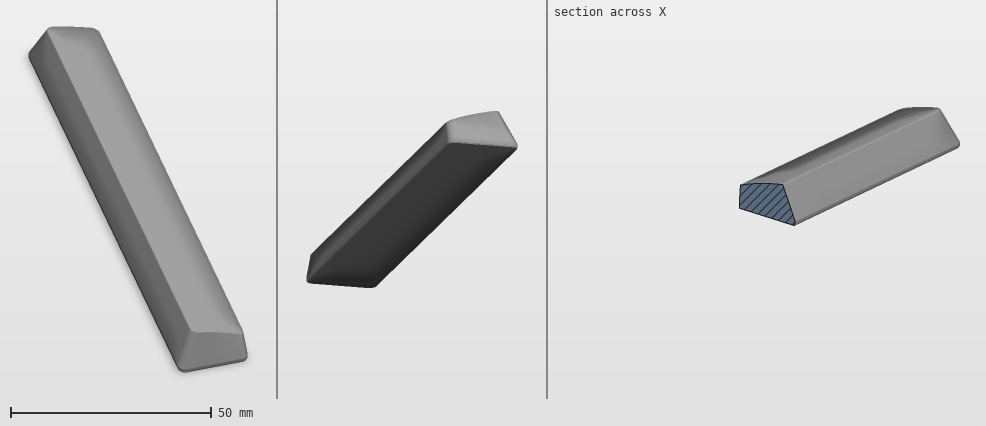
import cadquery as cq
import math

length = 132.5
depth = 18.1

rim_height = 1.2
corner_radius = 2.0
bottom_chamfer_height = 0.33
bottom_chamfer_inset = 0.2

front_height = 10.2
back_height = 6.5
end_inset = 3.0
front_inset = 4.1
back_inset = 0.5
top_bulge = 0.4
top_edge_radius = 0.33

blank_allowance = 0.1

front_y = -depth / 2
back_y = depth / 2
top_front_y = front_y + front_inset
top_back_y = back_y - back_inset
top_run = top_back_y - top_front_y
top_drop = front_height - back_height
top_slope_length = math.hypot(top_run, top_drop)
top_normal = cq.Vector(0, top_drop, top_run).normalized()
top_chord_middle = cq.Vector(
    0, (top_front_y + top_back_y) / 2, (front_height + back_height) / 2
)
top_crest = top_chord_middle + top_normal * top_bulge
top_arc_radius = top_slope_length**2 / (8 * top_bulge) + top_bulge / 2
top_arc_centre = top_crest - top_normal * top_arc_radius


def rounded_rectangle(plane, size_x, size_y):
    """Closed wire of a rectangle with round corners, centred on a plane."""
    outline = cq.Workplane(plane).rect(size_x, size_y).wires().val()
    return outline.fillet2D(corner_radius, outline.Vertices())


def rim():
    """Straight-sided band with a fine chamfer around its underside."""
    block = cq.Workplane("XY").box(length, depth, rim_height, centered=(True, True, False))
    rounded_block = block.edges("|Z").fillet(corner_radius)
    return rounded_block.faces("<Z").chamfer(bottom_chamfer_height, bottom_chamfer_inset)


def crown_blank():
    """Tapered loft from the rim to a tilted flat top just above the crest."""
    base_plane = cq.Plane(origin=(0, 0, rim_height))
    top_origin = top_crest + top_normal * blank_allowance
    top_plane = cq.Plane(origin=top_origin, xDir=(1, 0, 0), normal=top_normal)
    base_wire = rounded_rectangle(base_plane, length, depth)
    top_wire = rounded_rectangle(top_plane, length - 2 * end_inset, top_slope_length)
    return cq.Workplane(cq.Solid.makeLoft([base_wire, top_wire], True))


def top_cylinder():
    """Full-length cylinder whose upper side is the shallow arc of the top."""
    return (
        cq.Workplane("YZ")
        .center(top_arc_centre.y, top_arc_centre.z)
        .circle(top_arc_radius)
        .extrude(length / 2, both=True)
    )


def crown():
    """Tapered body under the bulged top, with the top edge rounded all around."""
    body = crown_blank().intersect(top_cylinder())
    top_face = body.faces(cq.selectors.NearestToPointSelector(top_crest.toTuple()))
    return top_face.edges().fillet(top_edge_radius)


result = rim().union(crown())